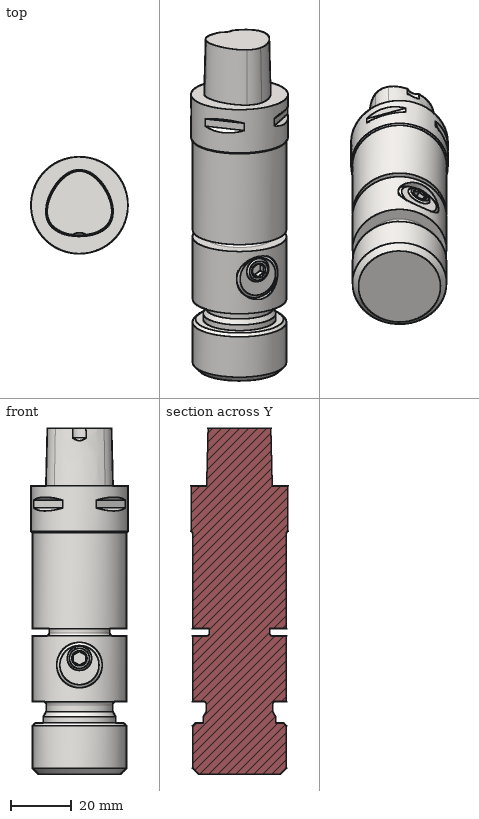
import cadquery as cq
import math

NUT_TOP = 17.0
COLLAR_BOTTOM = 24.0
COLLAR_TOP = 45.6
BODY_BOTTOM = 48.0
FLANGE_BOTTOM = 80.0
FLANGE_TOP = 95.0
SHANK_TOP = 114.0

FLANGE_DIA = 32.0
BODY_DIA = 31.0
NECK_DIA = 20.0
THREAD_DIA = 24.0
RELIEF_DIA = 22.0

NECK_FILLET = 1.0
NUT_TOP_CHAMFER = 1.0
NUT_FACE_CHAMFER = 2.0
FLANGE_CHAMFER_ANGLE = 45.0
RELIEF_LENGTH = 3.3
THREAD_LEAD_IN_ANGLE = 30.0

SHANK_MEAN_DIA = 22.0
SHANK_ECCENTRICITY = 0.7
SHANK_TAPER = 1 / 20
LOBE_COUNT = 3
LOBE_PITCH = 360 / LOBE_COUNT
FIRST_LOBE_ANGLE = 90.0
LOBE_HALF_ANGLE = 16.0
SHANK_CURVE_POINTS = 16

NOTCH_RADIUS = 3.6
NOTCH_INNER_Y = -9.0
NOTCH_WALL_LENGTH = 3.2

SLOT_Z = 89.0
SLOT_FLOOR_RADIUS = 14.5
SLOT_FLOOR_HEIGHT = 2.5
SLOT_FLANK_ANGLE = 35.0
SLOT_COUNT = 4
FIRST_SLOT_ANGLE = 45.0

DISC_Z = 36.0
DISC_DIA = 14.95
DISC_FACE_Y = 14.0
DISC_FACE_DIA = 12.9
DISC_RIM_HEIGHT = 0.6
SCREW_Z = 38.2
SCREW_DIA = 8.0
SCREW_FACE_DIA = 6.6
SCREW_FACE_Y = 14.6
SOCKET_RIM_DIA = 5.0
SOCKET_FLATS = 4.0
SOCKET_DEPTH = 3.0


def make_turned_body():
    """Revolve everything below the shank as one half profile (radius, height)."""
    flange_r = FLANGE_DIA / 2
    body_r = BODY_DIA / 2
    neck_r = NECK_DIA / 2
    thread_r = THREAD_DIA / 2
    relief_r = RELIEF_DIA / 2
    relief_end = COLLAR_BOTTOM - RELIEF_LENGTH
    lead_in_length = (thread_r - relief_r) / math.tan(math.radians(THREAD_LEAD_IN_ANGLE))
    flange_chamfer = (flange_r - body_r) / math.tan(math.radians(FLANGE_CHAMFER_ANGLE))
    profile = (
        cq.Workplane("XZ")
        .lineTo(body_r - NUT_FACE_CHAMFER, 0)
        .lineTo(body_r, NUT_FACE_CHAMFER)
        .lineTo(body_r, NUT_TOP - NUT_TOP_CHAMFER)
        .lineTo(body_r - NUT_TOP_CHAMFER, NUT_TOP)
        .lineTo(thread_r, NUT_TOP)
        .lineTo(thread_r, relief_end - lead_in_length)
        .lineTo(relief_r, relief_end)
        .lineTo(relief_r, COLLAR_BOTTOM - NECK_FILLET)
        .radiusArc((relief_r + NECK_FILLET, COLLAR_BOTTOM), NECK_FILLET)
        .lineTo(body_r, COLLAR_BOTTOM)
        .lineTo(body_r, COLLAR_TOP)
        .lineTo(neck_r + NECK_FILLET, COLLAR_TOP)
        .radiusArc((neck_r, COLLAR_TOP + NECK_FILLET), NECK_FILLET)
        .lineTo(neck_r, BODY_BOTTOM)
        .lineTo(body_r, BODY_BOTTOM)
        .lineTo(body_r, FLANGE_BOTTOM - flange_chamfer)
        .lineTo(flange_r, FLANGE_BOTTOM)
        .lineTo(flange_r, FLANGE_TOP)
        .lineTo(0, FLANGE_TOP)
        .close()
    )
    return profile.revolve(360, (0, 0, 0), (0, 1, 0))


def shank_point(mean_dia):
    """Three-lobed trochoid with one lobe pointing to +Y, as a function of angle in degrees."""
    def point(degrees):
        angle = math.radians(degrees)
        x = mean_dia / 2 * math.cos(angle) - SHANK_ECCENTRICITY * math.sin(2 * angle)
        y = mean_dia / 2 * math.sin(angle) - SHANK_ECCENTRICITY * math.cos(2 * angle)
        return x, y
    return point


def add_shank_outline(plane, mean_dia):
    """Draw the outline as three lobes joined by three flatter flanks."""
    point = shank_point(mean_dia)
    outline = plane
    for index in range(LOBE_COUNT):
        lobe_angle = FIRST_LOBE_ANGLE + index * LOBE_PITCH
        lobe_start = lobe_angle - LOBE_HALF_ANGLE
        lobe_end = lobe_angle + LOBE_HALF_ANGLE
        next_lobe_start = lobe_start + LOBE_PITCH
        for start, stop in ((lobe_start, lobe_end), (lobe_end, next_lobe_start)):
            outline = outline.parametricCurve(
                point, N=SHANK_CURVE_POINTS, start=start, stop=stop, makeWire=False
            )
    return outline.wire()


def make_shank():
    height = SHANK_TOP - FLANGE_TOP
    top_dia = SHANK_MEAN_DIA - SHANK_TAPER * height
    base = add_shank_outline(cq.Workplane("XY", origin=(0, 0, FLANGE_TOP)), SHANK_MEAN_DIA)
    return add_shank_outline(base.workplane(offset=height, origin=(0, 0, 0)), top_dia).loft(ruled=True)


def make_notch():
    """Round cutter with a 45 degree tip, standing on an axis outside the shank."""
    wall_bottom = SHANK_TOP - NOTCH_WALL_LENGTH
    tip_z = wall_bottom - NOTCH_RADIUS
    profile = (
        cq.Workplane("XZ", origin=(0, NOTCH_INNER_Y - NOTCH_RADIUS, 0))
        .moveTo(0, tip_z)
        .lineTo(NOTCH_RADIUS, wall_bottom)
        .lineTo(NOTCH_RADIUS, SHANK_TOP)
        .lineTo(0, SHANK_TOP)
        .close()
    )
    return profile.revolve(360, (0, 0, 0), (0, 1, 0))


def make_slot():
    """Straight slot facing +X, with flanks opening outwards."""
    reach = FLANGE_DIA / 2 - SLOT_FLOOR_RADIUS
    floor_half = SLOT_FLOOR_HEIGHT / 2
    mouth_half = floor_half + reach * math.tan(math.radians(SLOT_FLANK_ANGLE))
    return (
        cq.Workplane("XZ", origin=(SLOT_FLOOR_RADIUS, 0, SLOT_Z))
        .moveTo(0, -floor_half)
        .lineTo(reach, -mouth_half)
        .lineTo(reach, mouth_half)
        .lineTo(0, floor_half)
        .close()
        .extrude(FLANGE_DIA / 2, both=True)
    )


def front_plane(distance, height):
    """Workplane facing -Y at a given distance from the part axis."""
    return cq.Workplane("XZ", origin=(0, -distance, height))


def make_frustum(face_distance, height, base_dia, face_dia, thickness):
    """Frustum about a Y axis; its outer face lies at the given distance, facing -Y."""
    return (
        front_plane(face_distance - thickness, height)
        .circle(base_dia / 2)
        .workplane(offset=thickness)
        .circle(face_dia / 2)
        .loft(ruled=True)
    )


def make_socket():
    """Hexagon socket with a 45 degree countersunk rim; two flats stand upright."""
    corner_dia = SOCKET_FLATS / math.cos(math.pi / 6)
    hexagon = (
        front_plane(SCREW_FACE_Y, SCREW_Z)
        .transformed(rotate=(0, 0, 90))
        .polygon(6, corner_dia)
        .extrude(-SOCKET_DEPTH)
    )
    rim_depth = (SOCKET_RIM_DIA - SOCKET_FLATS) / 2
    rim = make_frustum(SCREW_FACE_Y, SCREW_Z, SOCKET_FLATS, SOCKET_RIM_DIA, rim_depth)
    return hexagon.union(rim)


def add_discs(part):
    """Bore the collar from both sides, fill the bores with the discs and cut the sockets."""
    bore = (
        front_plane(DISC_FACE_Y - DISC_RIM_HEIGHT, DISC_Z)
        .circle(DISC_DIA / 2)
        .extrude(BODY_DIA / 2)
    )
    disc = make_frustum(DISC_FACE_Y, DISC_Z, DISC_DIA, DISC_FACE_DIA, DISC_RIM_HEIGHT)
    screw_height = SCREW_FACE_Y - DISC_FACE_Y
    screw = make_frustum(SCREW_FACE_Y, SCREW_Z, SCREW_DIA, SCREW_FACE_DIA, screw_height)
    insert = disc.union(screw)
    socket = make_socket()
    part = part.cut(bore).union(insert).cut(socket)
    return part.cut(bore.mirror("XZ")).union(insert.mirror("XZ")).cut(socket.mirror("XZ"))


result = make_turned_body().union(make_shank()).cut(make_notch())
for index in range(SLOT_COUNT):
    slot_angle = FIRST_SLOT_ANGLE + index * 360 / SLOT_COUNT
    result = result.cut(make_slot().rotate((0, 0, 0), (0, 0, 1), slot_angle))
result = add_discs(result)